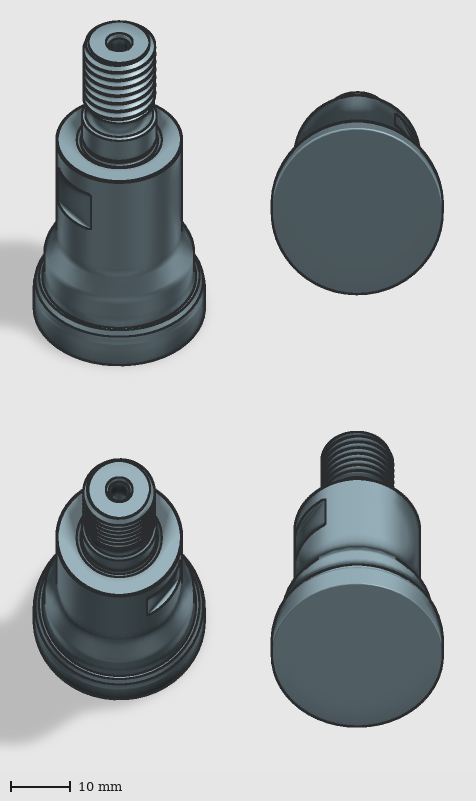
import cadquery as cq
import math

total_height = 60.1
body_top_z = 38.1
thread_base_z = 46.5

rim_radius = 14.285
rim_bottom_fillet = 0.3
rim_top_z = 4.7
groove_low_z = 5.05
groove_high_z = 5.2
groove_low_radius = 14.22
groove_high_radius = 14.18
bevel_low_z = 5.8
bevel_low_radius = 14.12
bevel_mid_z = 6.35
bevel_mid_radius = 14.0
bevel_top_z = 7.1
bevel_top_radius = 13.5
ledge_z = 7.28
ledge_radius = 13.38

collar_radius = 12.5
flare_angle = math.radians(15)
flare_fillet = 3.0
flare_top_z = 8.9

body_radius = 10.5
body_top_chamfer = 0.2
shoulder_bottom_z = 12.35
shoulder_angle = math.radians(25)
shoulder_fillet = 3.0

across_flats = 19.0
flat_bottom_z = 26.2
flat_height = 7.9
flat_fillet = 0.4

shank_radius = 6.25
shank_top_z = 43.5
shank_taper_top_z = 39.0
undercut_radius = 5.95
undercut_taper_bottom_z = 38.25
undercut_fillet = 0.6
undercut_depth = 0.3
recess_radius = 7.1
recess_inner_radius = 6.45

relief_top_radius = 5.25
relief_neck_radius = 5.03
relief_neck_z = 45.6
relief_bottom_radius = 5.65
relief_bottom_z = 43.85

thread_radius = 6.0
thread_pitch = 1.75
thread_tip_radius = 5.15
thread_root_radius = 5.05
thread_crest_width = thread_pitch / 8
thread_flank_angle = math.radians(30)
thread_groove_z = 52.75

hole_radius = 1.75
hole_depth = 6.0
hole_tip_angle = math.radians(59)
countersink_radius = 2.22
countersink_angle = math.radians(30)


def make_turned_body():
    """Everything below the thread, revolved about Z."""
    flare_fillet_bottom_z = flare_top_z - flare_fillet * math.sin(flare_angle)
    flare_fillet_radius = collar_radius + flare_fillet * (1 - math.cos(flare_angle))
    flare_foot_radius = flare_fillet_radius + (flare_fillet_bottom_z - ledge_z) * math.tan(flare_angle)

    fillet_height = shoulder_fillet * math.sin(shoulder_angle)
    fillet_width = shoulder_fillet * (1 - math.cos(shoulder_angle))
    cone_low_radius = collar_radius - fillet_width
    cone_low_z = shoulder_bottom_z + fillet_height
    cone_high_radius = body_radius + fillet_width
    cone_high_z = cone_low_z + (cone_low_radius - cone_high_radius) / math.tan(shoulder_angle)

    profile = (
        cq.Workplane("XZ")
        .lineTo(rim_radius - rim_bottom_fillet, 0)
        .radiusArc((rim_radius, rim_bottom_fillet), -rim_bottom_fillet)
        .lineTo(rim_radius, rim_top_z)
        .lineTo(groove_low_radius, groove_low_z)
        .lineTo(groove_high_radius, groove_high_z)
        .lineTo(bevel_low_radius, bevel_low_z)
        .lineTo(bevel_mid_radius, bevel_mid_z)
        .lineTo(bevel_top_radius, bevel_top_z)
        .lineTo(ledge_radius, ledge_z)
        .lineTo(flare_foot_radius, ledge_z)
        .lineTo(flare_fillet_radius, flare_fillet_bottom_z)
        .radiusArc((collar_radius, flare_top_z), flare_fillet)
        .lineTo(collar_radius, shoulder_bottom_z)
        .radiusArc((cone_low_radius, cone_low_z), -shoulder_fillet)
        .lineTo(cone_high_radius, cone_high_z)
        .radiusArc((body_radius, cone_high_z + fillet_height), shoulder_fillet)
        .lineTo(body_radius, body_top_z - body_top_chamfer)
        .lineTo(body_radius - body_top_chamfer, body_top_z)
        .lineTo(recess_radius, body_top_z)
        .lineTo(recess_inner_radius, body_top_z - undercut_depth)
        .radiusArc((undercut_radius, undercut_taper_bottom_z), undercut_fillet)
        .lineTo(shank_radius, shank_taper_top_z)
        .lineTo(shank_radius, shank_top_z)
        .lineTo(relief_bottom_radius, relief_bottom_z)
        .threePointArc((relief_neck_radius, relief_neck_z), (relief_top_radius, thread_base_z))
        .lineTo(0, thread_base_z)
        .close()
    )
    return profile.revolve(360, (0, 0, 0), (0, 1, 0))


def make_groove_turn(start_z):
    """One turn of the thread groove, a trapezoid swept up one pitch, starting on the +X side."""
    overshoot = 0.1
    mouth_radius = thread_radius + overshoot
    slope = math.tan(thread_flank_angle)
    mouth_half = (thread_pitch - thread_crest_width) / 2 + overshoot * slope
    root_half = mouth_half - (mouth_radius - thread_root_radius) * slope
    section = [
        (thread_root_radius, start_z - root_half),
        (mouth_radius, start_z - mouth_half),
        (mouth_radius, start_z + mouth_half),
        (thread_root_radius, start_z + root_half),
    ]

    helices = [
        cq.Wire.makeHelix(thread_pitch, thread_pitch, radius, cq.Vector(0, 0, z))
        for radius, z in section
    ]
    faces = []
    for index, helix in enumerate(helices):
        next_helix = helices[(index + 1) % len(helices)]
        faces.append(cq.Face.makeRuledSurface(helix, next_helix))
    for rise in (0, thread_pitch):
        corners = [cq.Vector(radius, 0, z + rise) for radius, z in section]
        faces.append(cq.Face.makeFromWires(cq.Wire.makePolygon(corners, close=True)))
    return cq.Workplane(cq.Solid.makeSolid(cq.Shell.makeShell(faces)))


def make_thread():
    """Threaded end: a cylinder bevelled at both ends, with a helical groove cut out."""
    base_bevel = thread_radius - relief_top_radius
    tip_bevel = thread_radius - thread_tip_radius
    thread = (
        cq.Workplane("XZ")
        .moveTo(0, thread_base_z)
        .lineTo(relief_top_radius, thread_base_z)
        .lineTo(thread_radius, thread_base_z + base_bevel)
        .lineTo(thread_radius, total_height - tip_bevel)
        .lineTo(thread_tip_radius, total_height)
        .lineTo(0, total_height)
        .close()
        .revolve(360, (0, 0, 0), (0, 1, 0))
    )

    turns_below = math.ceil((thread_groove_z - thread_base_z) / thread_pitch) + 1
    turns_above = math.ceil((total_height - thread_groove_z) / thread_pitch) + 1
    for turn in range(-turns_below, turns_above):
        thread = thread.cut(make_groove_turn(thread_groove_z + turn * thread_pitch))
    return thread


def make_wrench_flat(side):
    """Cutter for one flat; side is -1 or +1 along Y."""
    cutter_depth = body_radius
    cutter = cq.Workplane("XY").box(2 * body_radius, cutter_depth, flat_height)
    floor = "<Y" if side > 0 else ">Y"
    cutter = cutter.faces(floor).edges("|X").fillet(flat_fillet)
    middle_z = flat_bottom_z + flat_height / 2
    return cutter.translate((0, side * (across_flats + cutter_depth) / 2, middle_z))


def make_centre_hole():
    """Cutter for the countersunk blind hole with a drill-point bottom."""
    countersink_depth = (countersink_radius - hole_radius) / math.tan(countersink_angle)
    tip_length = hole_radius / math.tan(hole_tip_angle)
    return (
        cq.Workplane("XZ")
        .moveTo(0, total_height)
        .lineTo(countersink_radius, total_height)
        .lineTo(hole_radius, total_height - countersink_depth)
        .lineTo(hole_radius, total_height - hole_depth)
        .lineTo(0, total_height - hole_depth - tip_length)
        .close()
        .revolve(360, (0, 0, 0), (0, 1, 0))
    )


result = make_turned_body().union(make_thread())
for flat_side in (-1, 1):
    result = result.cut(make_wrench_flat(flat_side))
result = result.cut(make_centre_hole())